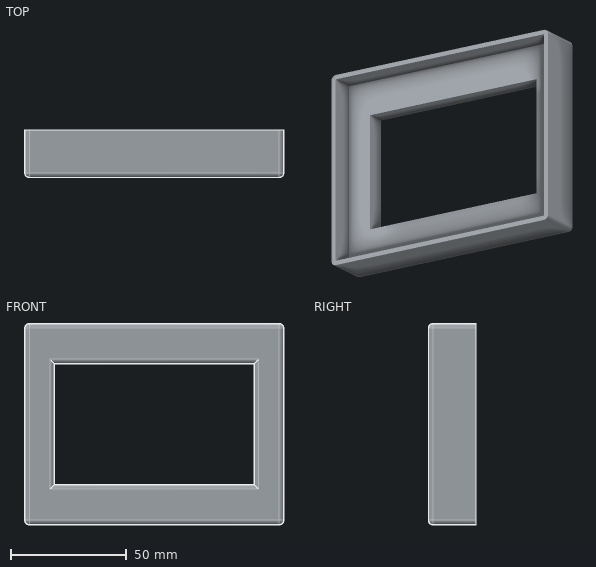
import cadquery as cq

width = 112.0
depth = 20.6
height = 87.0
edge_radius = 2.0

opening_width = 86.2
opening_height = 52.2

panel_thickness = 10.0
wall_thickness = 2.0

front_y = -depth / 2


def rounded_block():
    """Block with a flat back and all other edges rounded."""
    block = cq.Workplane("XY").box(width, depth, height)
    return block.edges("|Y").fillet(edge_radius).faces("<Y").edges().fillet(edge_radius)


def cut_opening(body):
    """Cut the window through the frame and round its front rim."""
    cutter = cq.Workplane("XY").box(opening_width, 2 * depth, opening_height)
    margin = edge_radius / 2
    rim_x = opening_width / 2 + margin
    rim_z = opening_height / 2 + margin
    rim_box = cq.selectors.BoxSelector(
        (-rim_x, front_y - margin, -rim_z),
        (rim_x, front_y + margin, rim_z),
    )
    return body.cut(cutter).edges(rim_box).fillet(edge_radius)


def cut_recess(body):
    """Hollow the frame from its back, down to the front panel."""
    recess_depth = depth - panel_thickness
    recess = cq.Workplane("XY").box(
        width - 2 * wall_thickness,
        recess_depth,
        height - 2 * wall_thickness,
    )
    return body.cut(recess.translate((0, (depth - recess_depth) / 2, 0)))


result = cut_recess(cut_opening(rounded_block()))